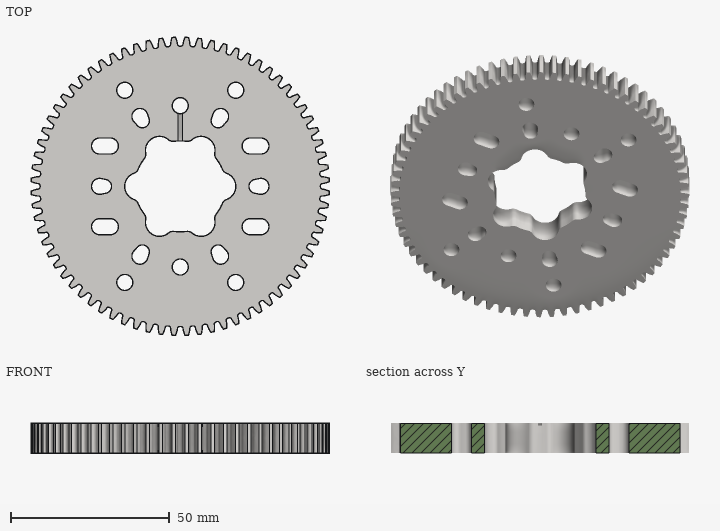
import cadquery as cq
import math

INCH = 25.4
TOLERANCE = 1e-3

TOOTH_COUNT = 72
MODULE = INCH / 20
PRESSURE_ANGLE = math.radians(14.5)
FACE_WIDTH = 0.375 * INCH
PITCH_RADIUS = MODULE * TOOTH_COUNT / 2
TIP_RADIUS = PITCH_RADIUS + MODULE
DEDENDUM = 1.25 * MODULE
ROOT_RADIUS = PITCH_RADIUS - DEDENDUM
BASE_RADIUS = PITCH_RADIUS * math.cos(PRESSURE_ANGLE)
ROOT_ROUND_HEIGHT = 0.35
SIDE_CLEARANCE = 0.045
TOOTH_PITCH_ANGLE = 360 / TOOTH_COUNT
FLANK_POINTS = 5

BORE_RADIUS = 0.5625 * INCH
LOBE_COUNT = 6
LOBE_RADIUS = 0.171875 * INCH
LOBE_TIP_DISTANCE = 0.6875 * INCH
LOBE_BLEND_RADIUS = 2.25

HOLE_DIAMETER = 0.196 * INCH
GRID = INCH / 2
BOLT_CIRCLE_RADIUS = INCH
OUTER_BOLT_CIRCLE_RADIUS = 1.375 * INCH
OUTER_HOLE_ANGLES = (60, 120, 240, 300)
SLOT_ANGLE = math.radians(30)

INNER_BOLT_CIRCLE_RADIUS = 0.9375 * INCH
INNER_HOLE_DIAMETER = 0.1695 * INCH
TAPERED_HOLE_COUNT = 6

GROOVE_WIDTH = 1.4
GROOVE_DEPTH = 0.03 * INCH


def polar(radius, angle):
    """Point at the given radius and angle (radians)."""
    return (radius * math.cos(angle), radius * math.sin(angle))


def involute(angle):
    """Involute function of a pressure angle."""
    return math.tan(angle) - angle


def half_space_angle(radius):
    """Half the angle of the gap between two teeth."""
    pressure = math.acos(BASE_RADIUS / radius)
    half_gap = math.pi / (2 * TOOTH_COUNT) + SIDE_CLEARANCE / PITCH_RADIUS
    return half_gap - involute(PRESSURE_ANGLE) + involute(pressure)


def tooth_space():
    """Cutter for one gap between teeth, centred on the +X axis: involute flanks and a round root."""
    flank_start = ROOT_RADIUS + ROOT_ROUND_HEIGHT
    step = (TIP_RADIUS - flank_start) / (FLANK_POINTS - 1)
    radii = [flank_start + i * step for i in range(FLANK_POINTS)]
    upper = [polar(r, half_space_angle(r)) for r in radii]
    lower = [(x, -y) for x, y in reversed(upper)]
    outside = TIP_RADIUS + MODULE
    return (
        cq.Workplane("XY")
        .spline(lower + [(ROOT_RADIUS, 0)] + upper)
        .lineTo(outside, upper[-1][1])
        .lineTo(outside, lower[0][1])
        .close()
        .extrude(FACE_WIDTH)
    )


def toothed_blank():
    """Disc with involute teeth; a tooth gap is centred on each axis."""
    blank = cq.Workplane("XY").circle(TIP_RADIUS).extrude(FACE_WIDTH)
    space = tooth_space().val()
    axis_start, axis_end = cq.Vector(0, 0, 0), cq.Vector(0, 0, 1)
    spaces = [space.rotate(axis_start, axis_end, i * TOOTH_PITCH_ANGLE) for i in range(TOOTH_COUNT)]
    return cq.Workplane(blank.val().cut(*spaces))


def is_on_bore_circle(edge):
    """True for an edge whose centre is at the bore radius."""
    centre = edge.Center()
    return abs(math.hypot(centre.x, centre.y) - BORE_RADIUS) < TOLERANCE


def bore():
    """Six-lobed bore with blended corners between its circle and lobes."""
    lobes = (
        cq.Workplane("XY")
        .polarArray(LOBE_TIP_DISTANCE - LOBE_RADIUS, 0, 360, LOBE_COUNT)
        .circle(LOBE_RADIUS)
        .extrude(FACE_WIDTH)
    )
    shape = cq.Workplane("XY").circle(BORE_RADIUS).extrude(FACE_WIDTH).union(lobes)
    return shape.edges("|Z").filter(is_on_bore_circle).fillet(LOBE_BLEND_RADIUS)


def round_holes():
    """Two holes on the Y axis and four on the outer bolt circle."""
    centres = [(0, BOLT_CIRCLE_RADIUS), (0, -BOLT_CIRCLE_RADIUS)]
    for angle in OUTER_HOLE_ANGLES:
        centres.append(polar(OUTER_BOLT_CIRCLE_RADIUS, math.radians(angle)))
    return cq.Workplane("XY").pushPoints(centres).circle(HOLE_DIAMETER / 2).extrude(FACE_WIDTH)


def slots():
    """Four slots from the bolt circle out to the square hole grid."""
    inner_x = BOLT_CIRCLE_RADIUS * math.cos(SLOT_ANGLE)
    outer_x = 2 * GRID
    centre_x = (inner_x + outer_x) / 2
    length = outer_x - inner_x + HOLE_DIAMETER
    return (
        cq.Workplane("XY")
        .rect(2 * centre_x, 2 * GRID, forConstruction=True)
        .vertices()
        .slot2D(length, HOLE_DIAMETER)
        .extrude(FACE_WIDTH)
    )


def tapered_hole(angle):
    """Two circles on one radial line, joined by their tangents."""
    inner_r = INNER_HOLE_DIAMETER / 2
    outer_r = HOLE_DIAMETER / 2
    spacing = BOLT_CIRCLE_RADIUS - INNER_BOLT_CIRCLE_RADIUS
    tangent = math.acos((inner_r - outer_r) / spacing)
    inner_x, inner_y = polar(inner_r, tangent)
    outer_x, outer_y = polar(outer_r, tangent)
    inner_x += INNER_BOLT_CIRCLE_RADIUS
    outer_x += BOLT_CIRCLE_RADIUS
    return (
        cq.Workplane("XY")
        .moveTo(inner_x, inner_y)
        .threePointArc((INNER_BOLT_CIRCLE_RADIUS - inner_r, 0), (inner_x, -inner_y))
        .lineTo(outer_x, -outer_y)
        .threePointArc((BOLT_CIRCLE_RADIUS + outer_r, 0), (outer_x, outer_y))
        .close()
        .extrude(FACE_WIDTH)
        .rotate((0, 0, 0), (0, 0, 1), angle)
    )


def index_groove():
    """Shallow groove from the bore to the hole on +Y."""
    return (
        cq.Workplane("XY")
        .workplane(offset=FACE_WIDTH - GROOVE_DEPTH)
        .box(GROOVE_WIDTH, BOLT_CIRCLE_RADIUS, GROOVE_DEPTH, centered=(True, False, False))
    )


result = toothed_blank().cut(bore()).cut(round_holes()).cut(slots()).cut(index_groove())
for hole_index in range(TAPERED_HOLE_COUNT):
    result = result.cut(tapered_hole(hole_index * 360 / TAPERED_HOLE_COUNT))